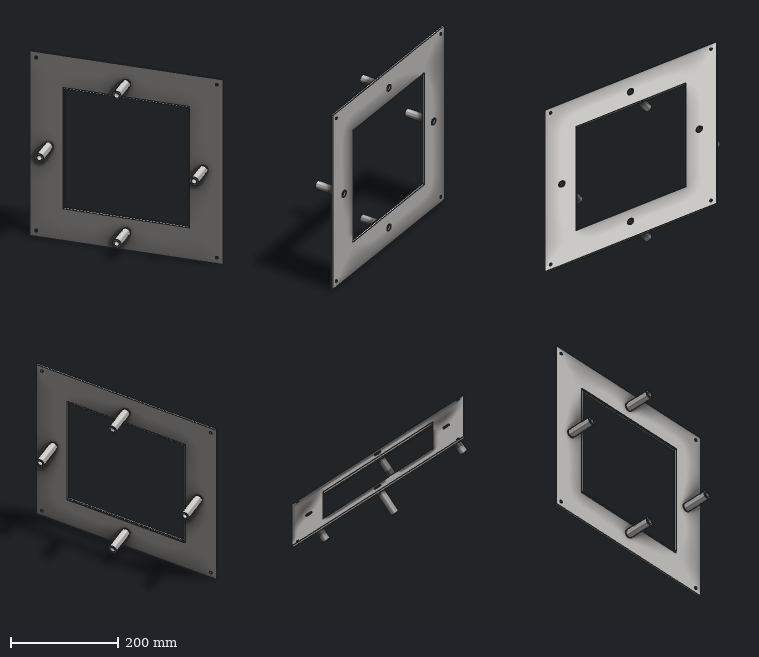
import cadquery as cq

plate_side = 382.0
plate_thickness = 4.2
opening_side = 244.5
corner_hole_diameter = 5.5
corner_hole_inset = 12.2

rim_width = 3.0
rim_height = 2.5

standoff_diameter = 17.0
standoff_bore = 10.7
spigot_diameter = 13.5
spigot_protrusion = 1.0
overall_depth = 60.0
standoff_length = overall_depth - plate_thickness - spigot_protrusion
spigot_length = plate_thickness + spigot_protrusion
standoff_offset = 153.0
standoff_centers = [
    (standoff_offset, 0),
    (0, standoff_offset),
    (-standoff_offset, 0),
    (0, -standoff_offset),
]


def front_plane(y=0.0):
    """XZ workplane at the given Y; extrusions go toward -Y. The plate's front face is at Y = 0."""
    return cq.Workplane("XZ", origin=(0, y, 0))


def make_rim():
    """Square ring whose outer and inner faces slope together to a sharp crest."""
    crest_side = opening_side + rim_width
    foot_side = crest_side + rim_width
    outer = (
        front_plane().rect(foot_side, foot_side)
        .workplane(offset=rim_height).rect(crest_side, crest_side).loft(ruled=True)
    )
    inner = (
        front_plane().rect(opening_side, opening_side)
        .workplane(offset=rim_height).rect(crest_side, crest_side).loft(ruled=True)
    )
    return outer.cut(inner)


def make_frame():
    """Plate and rim with the opening, the corner holes and the spigot holes cut through."""
    plate = front_plane(plate_thickness).rect(plate_side, plate_side).extrude(plate_thickness)
    opening = front_plane(plate_thickness).rect(opening_side, opening_side).extrude(plate_thickness)

    corner_pitch = plate_side - 2 * corner_hole_inset
    corner_holes = (
        front_plane(plate_thickness)
        .rect(corner_pitch, corner_pitch, forConstruction=True)
        .vertices()
        .circle(corner_hole_diameter / 2)
        .extrude(plate_thickness)
    )
    spigot_holes = (
        front_plane(plate_thickness)
        .pushPoints(standoff_centers)
        .circle(spigot_diameter / 2)
        .extrude(plate_thickness)
    )
    return plate.cut(opening).union(make_rim()).cut(corner_holes).cut(spigot_holes)


def make_standoff(x, z):
    """Tube whose shoulder rests on the plate's front face and whose spigot stands proud behind it."""
    barrel = front_plane().circle(standoff_diameter / 2).extrude(standoff_length)
    spigot = front_plane().circle(spigot_diameter / 2).extrude(-spigot_length)
    bore = front_plane(spigot_length).circle(standoff_bore / 2).extrude(overall_depth)
    return barrel.union(spigot).cut(bore).translate((x, 0, z))


frame = make_frame()
standoffs = [make_standoff(x, z) for x, z in standoff_centers]

result = cq.Compound.makeCompound(
    [frame.solids().val(), *[standoff.solids().val() for standoff in standoffs]]
)